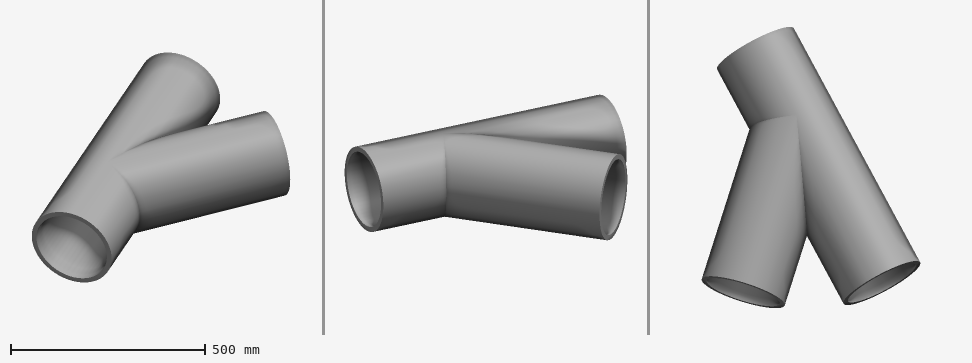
import cadquery as cq
import math

outer_diameter = 225.0
inner_diameter = 198.0
run_length = 700.0
inlet_length = 227.5
branch_length = 463.5
branch_angle = 45.0

run_start = cq.Vector(0, -inlet_length, 0)
run_direction = cq.Vector(0, 1, 0)
branch_start = cq.Vector(0, 0, 0)
branch_direction = cq.Vector(
    math.sin(math.radians(branch_angle)),
    math.cos(math.radians(branch_angle)),
    0,
)


def wye(diameter):
    """Solid run and branch of one diameter, joined at the crossing of their axes."""
    radius = diameter / 2
    run = cq.Solid.makeCylinder(radius, run_length, run_start, run_direction)
    branch = cq.Solid.makeCylinder(radius, branch_length, branch_start, branch_direction)
    return cq.Workplane(obj=run).union(cq.Workplane(obj=branch))


result = wye(outer_diameter).cut(wye(inner_diameter))